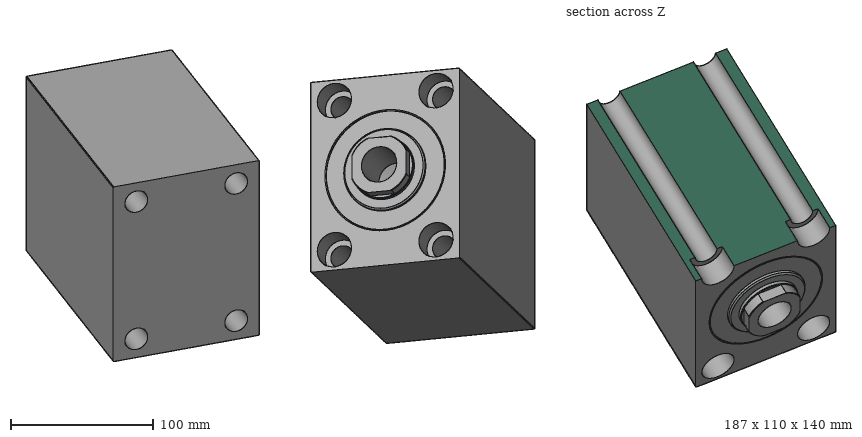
import cadquery as cq
import math

OVERALL_LENGTH = 187.0
HOUSING_LENGTH = 173.0
HOUSING_WIDTH = 110.0
HOUSING_HEIGHT = 140.0
EDGE_CHAMFER = 0.5

HOLE_SPACING_Y = 75.0
HOLE_SPACING_Z = 110.0
HOLE_DIAMETER = 17.0
COUNTERBORE_DIAMETER = 25.2
COUNTERBORE_DEPTH = 18.7

GLAND_DIAMETER = 87.1
GLAND_DEPTH = 50.0
GLAND_RECESS_CHAMFER = 1.0
COLLAR_DIAMETER = 60.0
COLLAR_HEIGHT = 3.0
COLLAR_CHAMFER = 1.1

ROD_DIAMETER = 45.0
ROD_DEPTH = GLAND_DEPTH
SHOULDER_HEIGHT = 6.0
SHOULDER_CHAMFER = 0.5
HEAD_DIAMETER = 44.0
HEAD_ACROSS_FLATS = 40.0
HEAD_HEIGHT = OVERALL_LENGTH - HOUSING_LENGTH
HEAD_CHAMFER = 0.4

BORE_DIAMETER = 26.0
BORE_DEPTH = 40.0
BORE_TIP_ANGLE = 118


def x_cylinder(diameter, x_start, x_end):
    """Cylinder on the X axis between two X positions."""
    plane = cq.Workplane("YZ", origin=(x_start, 0, 0))
    return plane.circle(diameter / 2).extrude(x_end - x_start)


def make_housing():
    block = cq.Workplane("XY").box(
        HOUSING_LENGTH, HOUSING_WIDTH, HOUSING_HEIGHT, centered=(False, True, True)
    )
    block = block.edges("|X").chamfer(EDGE_CHAMFER)
    block = (
        block.faces("<X")
        .workplane(centerOption="CenterOfBoundBox")
        .rect(HOLE_SPACING_Y, HOLE_SPACING_Z, forConstruction=True)
        .vertices()
        .cboreHole(HOLE_DIAMETER, COUNTERBORE_DIAMETER, COUNTERBORE_DEPTH)
    )
    block = block.cut(x_cylinder(GLAND_DIAMETER, 0, GLAND_DEPTH))
    recess_mouth = cq.selectors.RadiusNthSelector(-1)
    return block.faces("<X").edges("%CIRCLE").edges(recess_mouth).chamfer(GLAND_RECESS_CHAMFER)


def make_gland():
    plug = x_cylinder(GLAND_DIAMETER, 0, GLAND_DEPTH)
    collar = x_cylinder(COLLAR_DIAMETER, -COLLAR_HEIGHT, 0).faces("<X").chamfer(COLLAR_CHAMFER)
    rod_hole = x_cylinder(ROD_DIAMETER, -COLLAR_HEIGHT, GLAND_DEPTH)
    return plug.union(collar).cut(rod_hole)


def make_rod_bore():
    """Drilled blind hole: a half profile turned about the X axis."""
    radius = BORE_DIAMETER / 2
    tip_length = radius / math.tan(math.radians(BORE_TIP_ANGLE / 2))
    bottom = BORE_DEPTH - HEAD_HEIGHT
    return (
        cq.Workplane("XY")
        .moveTo(-HEAD_HEIGHT, 0)
        .lineTo(-HEAD_HEIGHT, radius)
        .lineTo(bottom, radius)
        .lineTo(bottom + tip_length, 0)
        .close()
        .revolve(360, (0, 0, 0), (1, 0, 0))
    )


def make_rod():
    shaft = x_cylinder(ROD_DIAMETER, -SHOULDER_HEIGHT, ROD_DEPTH).faces("<X").chamfer(SHOULDER_CHAMFER)
    head = x_cylinder(HEAD_DIAMETER, -HEAD_HEIGHT, -SHOULDER_HEIGHT).faces("<X").chamfer(HEAD_CHAMFER)
    flats = (
        cq.Workplane("YZ", origin=(-HEAD_HEIGHT, 0, 0))
        .rect(HEAD_ACROSS_FLATS, HEAD_ACROSS_FLATS)
        .extrude(HEAD_HEIGHT - SHOULDER_HEIGHT)
    )
    return shaft.union(head.intersect(flats)).cut(make_rod_bore())


housing = make_housing()
gland = make_gland()
rod = make_rod()

result = cq.Compound.makeCompound([housing.val(), gland.val(), rod.val()])